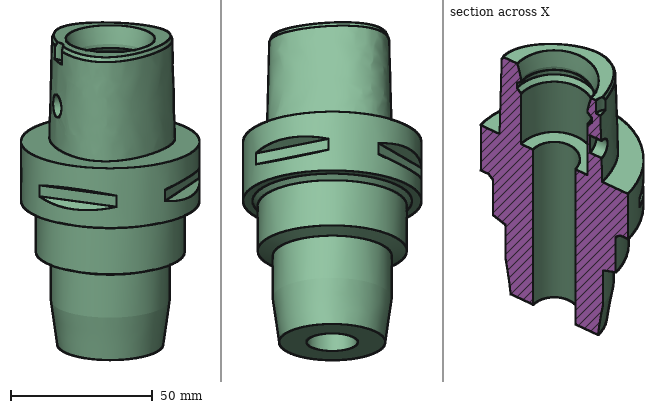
import cadquery as cq
import math

TOTAL_HEIGHT = 113.0
SHANK_LENGTH = 38.0
FLANGE_HEIGHT = 22.0
FLANGE_TOP = TOTAL_HEIGHT - SHANK_LENGTH
FLANGE_BOTTOM = FLANGE_TOP - FLANGE_HEIGHT

FLANGE_RADIUS = 31.5
COLLAR_RADIUS = 26.3
COLLAR_FLARE = 1.8
COLLAR_BOTTOM = 34.2
NECK_RADIUS = 21.0
NECK_TOP = 32.3
NOSE_TOP = 16.4
NOSE_RADIUS = 18.8

SHANK_RADIUS = 22.0
LOBE_HEIGHT = 1.5
SHANK_TAPER = 1 / 40
SHANK_CHAMFER_HEIGHT = 1.6
SHANK_CHAMFER_WIDTH = 0.7
LOBE_COUNT = 3
OUTLINE_POINTS = 60

THROUGH_RADIUS = 9.0
MOUTH_RADIUS = 15.7
BORE_RADIUS = 14.1
MOUTH_DEPTH = 6.5
GROOVE_RADIUS = 15.9
GROOVE_START = 7.9
GROOVE_END = 13.7
GROOVE_FLARE = GROOVE_RADIUS - BORE_RADIUS
BORE_DEPTH = SHANK_LENGTH

SLOT_COUNT = 4
SLOT_FLAT_DISTANCE = 27.8
SLOT_LEVEL = 62.8
SLOT_FLOOR_HEIGHT = 4.1
SLOT_MOUTH_HEIGHT = 7.7

NOTCH_RADIUS = 4.5
NOTCH_BOTTOM_Y = -18.0
NOTCH_DEPTH = 6.3

HOLE_RADIUS = 4.1
HOLE_LEVEL = 90.4
HOLE_FLOOR_Y = -15.3


def body():
    """Flange, collar, neck and conical nose, revolved about Z."""
    profile = [
        (0, 0),
        (NOSE_RADIUS, 0),
        (NECK_RADIUS, NOSE_TOP),
        (NECK_RADIUS, NECK_TOP),
        (COLLAR_RADIUS, COLLAR_BOTTOM),
        (COLLAR_RADIUS, FLANGE_BOTTOM - COLLAR_FLARE),
        (COLLAR_RADIUS + COLLAR_FLARE, FLANGE_BOTTOM),
        (FLANGE_RADIUS, FLANGE_BOTTOM),
        (FLANGE_RADIUS, FLANGE_TOP),
        (0, FLANGE_TOP),
    ]
    return cq.Workplane("XZ").polyline(profile).close().revolve(360, (0, 0), (0, 1))


def lobed_wire(mean_radius, level):
    """Closed trochoid outline with one of its lobes pointing to +Y."""
    points = []
    for i in range(OUTLINE_POINTS):
        turn = 2 * math.pi * i / OUTLINE_POINTS
        counter_turn = (LOBE_COUNT - 1) * turn
        x = mean_radius * math.sin(turn) - LOBE_HEIGHT * math.sin(counter_turn)
        y = mean_radius * math.cos(turn) + LOBE_HEIGHT * math.cos(counter_turn)
        points.append(cq.Vector(x, y, level))
    return cq.Wire.assembleEdges([cq.Edge.makeSpline(points, periodic=True)])


def shank():
    """Tapered lobed shank with a chamfered top edge."""
    chamfer_level = TOTAL_HEIGHT - SHANK_CHAMFER_HEIGHT
    chamfer_radius = SHANK_RADIUS - SHANK_TAPER * (chamfer_level - FLANGE_TOP)
    base = lobed_wire(SHANK_RADIUS, FLANGE_TOP)
    shoulder = lobed_wire(chamfer_radius, chamfer_level)
    tip = lobed_wire(chamfer_radius - SHANK_CHAMFER_WIDTH, TOTAL_HEIGHT)
    return cq.Workplane(cq.Solid.makeLoft([base, shoulder, tip], True))


def bore():
    """Conical mouth, grooved bore with a flat floor, and the through hole."""
    steps = [
        (MOUTH_RADIUS, 0),
        (BORE_RADIUS, MOUTH_DEPTH),
        (BORE_RADIUS, GROOVE_START),
        (GROOVE_RADIUS, GROOVE_START + GROOVE_FLARE),
        (GROOVE_RADIUS, GROOVE_END - GROOVE_FLARE),
        (BORE_RADIUS, GROOVE_END),
        (BORE_RADIUS, BORE_DEPTH),
        (THROUGH_RADIUS, BORE_DEPTH),
        (THROUGH_RADIUS, TOTAL_HEIGHT),
    ]
    profile = [(radius, TOTAL_HEIGHT - depth) for radius, depth in steps]
    outline = [(0, TOTAL_HEIGHT)] + profile + [(0, 0)]
    return cq.Workplane("XZ").polyline(outline).close().revolve(360, (0, 0), (0, 1))


def gripper_slot():
    """Straight slot with sloping flanks, cut into the +X side."""
    half_floor = SLOT_FLOOR_HEIGHT / 2
    half_mouth = SLOT_MOUTH_HEIGHT / 2
    section = [
        (SLOT_FLAT_DISTANCE, SLOT_LEVEL - half_floor),
        (FLANGE_RADIUS, SLOT_LEVEL - half_mouth),
        (FLANGE_RADIUS, SLOT_LEVEL + half_mouth),
        (SLOT_FLAT_DISTANCE, SLOT_LEVEL + half_floor),
    ]
    return cq.Workplane("XZ").polyline(section).close().extrude(FLANGE_RADIUS, both=True)


def key_notch():
    """Upright round-bottomed notch, open at the top."""
    return (
        cq.Workplane("XY", origin=(0, NOTCH_BOTTOM_Y - NOTCH_RADIUS, TOTAL_HEIGHT - NOTCH_DEPTH))
        .circle(NOTCH_RADIUS)
        .extrude(NOTCH_DEPTH)
    )


def side_hole():
    """Flat-bottomed hole, running outward along -Y."""
    return (
        cq.Workplane("XZ", origin=(0, HOLE_FLOOR_Y, HOLE_LEVEL))
        .circle(HOLE_RADIUS)
        .extrude(SHANK_RADIUS)
    )


result = body().union(shank())
result = result.cut(bore()).cut(key_notch()).cut(side_hole())
for slot_index in range(SLOT_COUNT):
    slot_angle = 45 + slot_index * 360 / SLOT_COUNT
    result = result.cut(gripper_slot().rotate((0, 0, 0), (0, 0, 1), slot_angle))